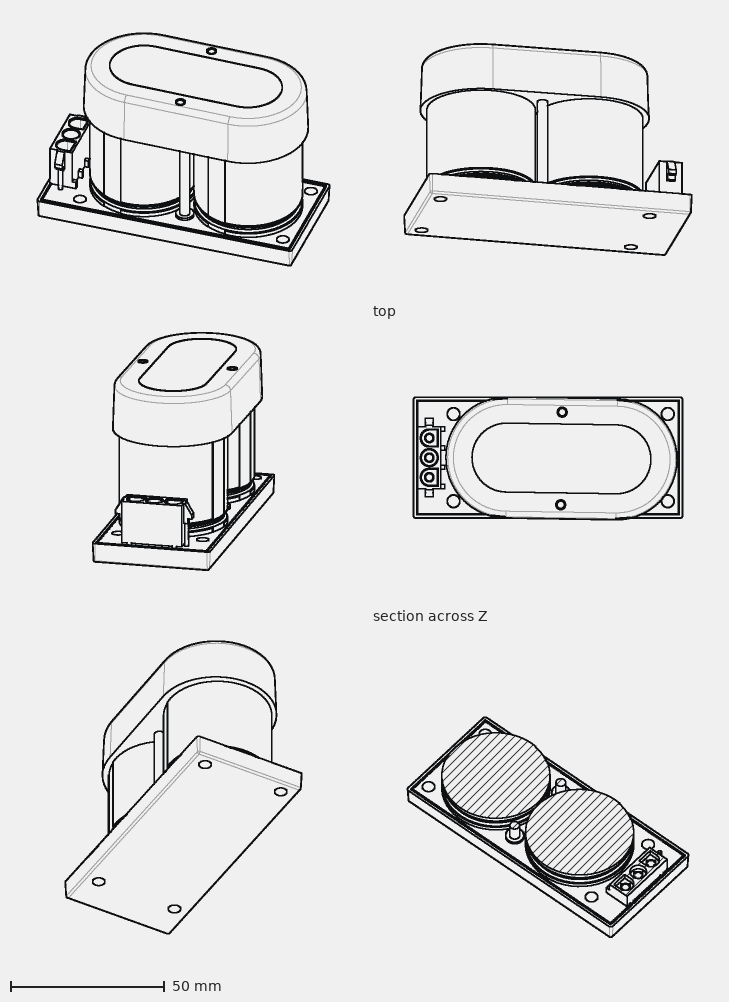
import cadquery as cq
import math

BASE_LENGTH = 87.6
BASE_WIDTH = 39.4
BASE_HEIGHT = 6.5
BASE_DRAFT = 0.35
BASE_CORNER_RADIUS = 0.9
BASE_BOTTOM_RADIUS = 0.7
RIM_WIDTH = 1.05
RIM_GROOVE_WIDTH = 0.35
RIM_GROOVE_DEPTH = 0.4

MOUNT_RADIUS = 2.0
MOUNT_CENTER_X = 4.1
MOUNT_SPACING_X = 69.75
MOUNT_SPACING_Y = 28.4

PACK_X = 4.4
CAN_PITCH = 35.8
CAN_RADIUS = 17.5
CAN_HEIGHT = 31.55
CAN_GROOVE_DEPTH = 1.05
CAN_GROOVE_BOTTOM = 1.75
CAN_GROOVE_TOP = 4.1
CAN_FLANK_DEPTH = 0.9
CAN_FLANK_HEIGHT = 0.6
SLEEVE_THICKNESS = 0.2
SLEEVE_GAP = 0.35
SLIT_LEFT = -8.6
SLIT_RIGHT = -2.1

COVER_BOTTOM = BASE_HEIGHT + CAN_HEIGHT
TOTAL_HEIGHT = 54.4
COVER_HEIGHT = TOTAL_HEIGHT - COVER_BOTTOM
COVER_RADIUS = 19.7
COVER_Y = -0.3
COVER_TURN = -0.9
COVER_DRAFT_ANGLE = 2.0
COVER_TOP_RADIUS = 1.8
PANEL_RADIUS = 11.2
PANEL_DEPTH = 0.2

SCREW_OFFSET_Y = 15.1
SCREW_SEAT_RADIUS = 1.6
SCREW_SEAT_DEPTH = 0.3
SCREW_BORE_RADIUS = 1.2
SCREW_BORE_DEPTH = 5.3

ROD_RADIUS = 1.7
ROD_OFFSET_Y = 11.6
ROD_FLANGE_RADIUS = 3.0
ROD_FLANGE_HEIGHT = 0.8

PLUG_X_MIN = -42.5
PLUG_X_MAX = -34.9
PLUG_WIDTH = 20.15
PLUG_BOTTOM = BASE_HEIGHT + 0.7
PLUG_TOP = 21.2
PLUG_HEIGHT = PLUG_TOP - PLUG_BOTTOM
SOCKET_X = -38.65
SOCKET_PITCH = 6.4
SOCKET_RADIUS = 2.6
SOCKET_MOUTH_RADIUS = 2.9
SOCKET_MOUTH_DEPTH = 0.4
SOCKET_DEPTH = 10.5
PIN_RADIUS = 1.5
PIN_BORE_RADIUS = 1.2
PIN_HEIGHT = 3.5
FOOT_LENGTH = 0.7
FOOT_WIDTH = 1.5
FOOT_OFFSET_Y = 7.5
TAB_LENGTH = 1.3
TAB_WIDTH = 1.4
TAB_HEIGHT = 2.45
TAB_PITCH = 6.3
CLIP_WIDTH = 2.5
CLIP_LEDGE = 0.4
CLIP_STEM = 1.3
CLIP_REACH = 2.7
CLIP_BARB_TOP = 17.4
CLIP_BARB_BOTTOM = 16.0
CLIP_BOTTOM = 14.5
POST_RADIUS = 0.66


def cylinder(x, y, z, radius, height):
    return cq.Workplane("XY", origin=(x, y, z)).circle(radius).extrude(height)


def block(x_min, x_max, y_center, width, z, height):
    center_x = (x_min + x_max) / 2
    plane = cq.Workplane("XY", origin=(center_x, y_center, z))
    return plane.rect(x_max - x_min, width).extrude(height)


def make_base():
    draft_angle = math.degrees(math.atan2(BASE_DRAFT, BASE_HEIGHT))
    base = (
        cq.Workplane("XY", origin=(0, 0, BASE_HEIGHT))
        .sketch()
        .rect(BASE_LENGTH, BASE_WIDTH)
        .vertices()
        .fillet(BASE_CORNER_RADIUS)
        .finalize()
        .extrude(-BASE_HEIGHT, taper=draft_angle)
    )
    base = base.faces("<Z").edges().fillet(BASE_BOTTOM_RADIUS)

    board_inset = 2 * (RIM_WIDTH + RIM_GROOVE_WIDTH)
    groove = (
        cq.Workplane("XY", origin=(0, 0, BASE_HEIGHT))
        .rect(BASE_LENGTH - 2 * RIM_WIDTH, BASE_WIDTH - 2 * RIM_WIDTH)
        .rect(BASE_LENGTH - board_inset, BASE_WIDTH - board_inset)
        .extrude(-RIM_GROOVE_DEPTH)
    )
    mount_holes = (
        cq.Workplane("XY", origin=(MOUNT_CENTER_X, 0, 0))
        .rect(MOUNT_SPACING_X, MOUNT_SPACING_Y, forConstruction=True)
        .vertices()
        .circle(MOUNT_RADIUS)
        .extrude(BASE_HEIGHT)
    )
    return base.cut(groove).cut(mount_holes)


def make_can_body():
    flank_radius = CAN_RADIUS - CAN_FLANK_DEPTH
    floor_radius = CAN_RADIUS - CAN_GROOVE_DEPTH
    floor_z = (CAN_GROOVE_BOTTOM + CAN_GROOVE_TOP) / 2
    return (
        cq.Workplane("XZ")
        .lineTo(CAN_RADIUS, 0)
        .lineTo(CAN_RADIUS, CAN_GROOVE_BOTTOM)
        .lineTo(flank_radius, CAN_GROOVE_BOTTOM + CAN_FLANK_HEIGHT)
        .lineTo(floor_radius, floor_z)
        .lineTo(flank_radius, CAN_GROOVE_TOP - CAN_FLANK_HEIGHT)
        .lineTo(CAN_RADIUS, CAN_GROOVE_TOP)
        .lineTo(CAN_RADIUS, CAN_HEIGHT)
        .lineTo(0, CAN_HEIGHT)
        .close()
        .revolve(360, (0, 0, 0), (0, 1, 0))
    )


def make_sleeve(bottom, top):
    """Tube around the can, open along a slit on the -Y side."""
    height = top - bottom
    sleeve_radius = CAN_RADIUS + SLEEVE_THICKNESS
    sleeve = cylinder(0, 0, bottom, sleeve_radius, height).cut(cylinder(0, 0, bottom, CAN_RADIUS, height))
    slit = block(SLIT_LEFT, SLIT_RIGHT, -CAN_RADIUS, CAN_RADIUS, bottom, height)
    return sleeve.cut(slit)


def make_can():
    lower_sleeve = make_sleeve(0, CAN_GROOVE_BOTTOM - SLEEVE_GAP)
    upper_sleeve = make_sleeve(CAN_GROOVE_TOP + SLEEVE_GAP, CAN_HEIGHT)
    return make_can_body().union(lower_sleeve).union(upper_sleeve)


def make_cover():
    """Cover built around its own middle, then turned and placed on the pack."""
    cover = (
        cq.Workplane("XY", origin=(0, 0, COVER_BOTTOM))
        .slot2D(CAN_PITCH + 2 * COVER_RADIUS, 2 * COVER_RADIUS)
        .extrude(COVER_HEIGHT, taper=COVER_DRAFT_ANGLE)
    )
    cover = cover.faces(">Z").edges().fillet(COVER_TOP_RADIUS)
    panel = (
        cq.Workplane("XY", origin=(0, 0, TOTAL_HEIGHT))
        .slot2D(CAN_PITCH + 2 * PANEL_RADIUS, 2 * PANEL_RADIUS)
        .extrude(-PANEL_DEPTH)
    )
    cover = cover.cut(panel)
    for y in (-SCREW_OFFSET_Y, SCREW_OFFSET_Y):
        cover = cover.cut(cylinder(0, y, TOTAL_HEIGHT, SCREW_SEAT_RADIUS, -SCREW_SEAT_DEPTH))
        cover = cover.cut(cylinder(0, y, TOTAL_HEIGHT, SCREW_BORE_RADIUS, -SCREW_BORE_DEPTH))
    turned = cover.rotate((0, 0, 0), (0, 0, 1), COVER_TURN)
    return turned.translate((PACK_X, COVER_Y, 0))


def make_rod(y):
    rod = cylinder(PACK_X, y, BASE_HEIGHT, ROD_RADIUS, COVER_BOTTOM - BASE_HEIGHT)
    flange = cylinder(PACK_X, y, BASE_HEIGHT, ROD_FLANGE_RADIUS, ROD_FLANGE_HEIGHT)
    return rod.union(flange)


def make_clip():
    """Barbed latch on the +Y end of the connector."""
    wall = PLUG_WIDTH / 2
    return (
        cq.Workplane("YZ", origin=(SOCKET_X - CLIP_WIDTH / 2, 0, 0))
        .polyline([
            (wall, CLIP_BOTTOM),
            (wall + CLIP_STEM, CLIP_BOTTOM),
            (wall + CLIP_STEM, CLIP_BARB_BOTTOM),
            (wall + CLIP_REACH, CLIP_BARB_BOTTOM),
            (wall + CLIP_REACH, CLIP_BARB_TOP),
            (wall + CLIP_LEDGE, PLUG_TOP),
            (wall, PLUG_TOP),
        ])
        .close()
        .extrude(CLIP_WIDTH)
    )


def socket_prism(y, radius, depth, square_side):
    """Prism sunk from the plug top; square_side squares off its +X half."""
    prism = cylinder(SOCKET_X, y, PLUG_TOP - depth, radius, depth)
    if square_side:
        square = block(SOCKET_X, SOCKET_X + radius, y, 2 * radius, PLUG_TOP - depth, depth)
        prism = prism.union(square)
    return prism


def make_socket(y, square_side):
    """Cavity with a shallow wider mouth around a hollow pin."""
    cavity = socket_prism(y, SOCKET_RADIUS, SOCKET_DEPTH, square_side)
    mouth = socket_prism(y, SOCKET_MOUTH_RADIUS, SOCKET_MOUTH_DEPTH, square_side)
    floor = PLUG_TOP - SOCKET_DEPTH
    pin = cylinder(SOCKET_X, y, floor, PIN_RADIUS, PIN_HEIGHT)
    bore = cylinder(SOCKET_X, y, floor, PIN_BORE_RADIUS, PIN_HEIGHT)
    return cavity.union(mouth).cut(pin.cut(bore))


def make_connector():
    plug = block(PLUG_X_MIN, PLUG_X_MAX, 0, PLUG_WIDTH, PLUG_BOTTOM, PLUG_HEIGHT)
    for index in (-1, 0, 1):
        plug = plug.cut(make_socket(index * SOCKET_PITCH, index != 0))

    foot_height = PLUG_BOTTOM - BASE_HEIGHT
    for y in (-FOOT_OFFSET_Y, FOOT_OFFSET_Y):
        for x in (PLUG_X_MIN, PLUG_X_MAX - FOOT_LENGTH):
            plug = plug.union(block(x, x + FOOT_LENGTH, y, FOOT_WIDTH, BASE_HEIGHT, foot_height))

    outer_tab_y = (PLUG_WIDTH - TAB_WIDTH) / 2
    inner_tab_y = TAB_PITCH / 2
    for y in (-outer_tab_y, -inner_tab_y, inner_tab_y, outer_tab_y):
        tab_end = PLUG_X_MAX + TAB_LENGTH
        plug = plug.union(block(PLUG_X_MAX, tab_end, y, TAB_WIDTH, PLUG_BOTTOM, TAB_HEIGHT))

    clip = make_clip()
    post_y = -(PLUG_WIDTH / 2 + CLIP_STEM - POST_RADIUS)
    post = cylinder(SOCKET_X, post_y, BASE_HEIGHT, POST_RADIUS, CLIP_BOTTOM - BASE_HEIGHT)
    return plug.union(clip).union(clip.mirror("XZ")).union(post)


result = make_base()
for can_x in (PACK_X - CAN_PITCH / 2, PACK_X + CAN_PITCH / 2):
    result = result.union(make_can().translate((can_x, 0, BASE_HEIGHT)))
result = result.union(make_cover())
for rod_y in (-ROD_OFFSET_Y, ROD_OFFSET_Y):
    result = result.union(make_rod(rod_y))
result = result.union(make_connector())